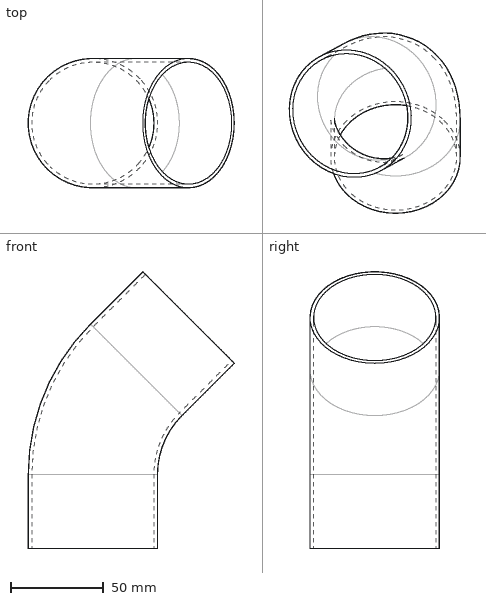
import cadquery as cq
import math

overall_height = 149.5
outer_diameter = 70.0
inner_diameter = 66.0
bend_radius = 80.0
bend_angle = 45.0

bend_sin = math.sin(math.radians(bend_angle))
bend_cos = math.cos(math.radians(bend_angle))
end_length = (
    overall_height - bend_radius * bend_sin - outer_diameter / 2 * bend_sin
) / (1 + bend_cos)


def pipe_ring(plane):
    """Annular pipe section centred on the given plane."""
    return cq.Workplane(plane).circle(outer_diameter / 2).circle(inner_diameter / 2)


lower_end = pipe_ring("XY").extrude(end_length)

bend_start = cq.Plane(origin=(0, 0, end_length))
bend = pipe_ring(bend_start).revolve(
    bend_angle, (bend_radius, 0, 0), (bend_radius, 1, 0)
)

bend_end = cq.Plane(
    origin=(bend_radius * (1 - bend_cos), 0, end_length + bend_radius * bend_sin),
    xDir=(bend_cos, 0, -bend_sin),
    normal=(bend_sin, 0, bend_cos),
)
upper_end = pipe_ring(bend_end).extrude(end_length)

result = lower_end.union(bend).union(upper_end)